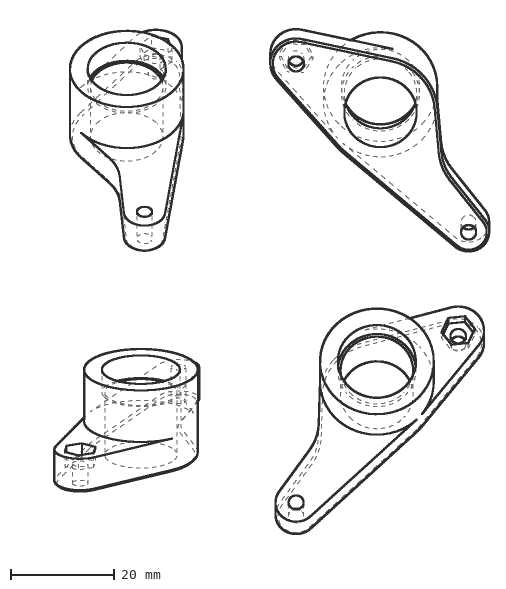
import cadquery as cq
import math

hub_center = (0.0, 0.0)
hub_radius = 11.0
hub_height = 17.7
bore_diameter = 14.0
seat_diameter = 15.1
seat_depth = 4.7

arm_thickness = 7.0
bottom_chamfer = 0.5

nut_arm_center = (0.0, 19.0)
nut_arm_radius = 5.0
nut_hole_diameter = 3.0
nut_across_flats = 5.6
nut_pocket_depth = 3.0
nut_rotation = 2.0

pin_arm_center = (12.0, -27.0)
pin_arm_radius = 4.0
pin_hole_diameter = 2.9

elbow_corner = (3.3, -15.95)
elbow_radius = 10.0


def polar(center, radius, angle):
    """Point at the given angle (radians) on a circle."""
    return (center[0] + radius * math.cos(angle), center[1] + radius * math.sin(angle))


def heading(start, end):
    """Direction angle from one point to another."""
    return math.atan2(end[1] - start[1], end[0] - start[0])


def tangent_normal(start, start_radius, end, end_radius, side):
    """Angle of the radius that meets a common tangent of two circles.

    side is +1 for the tangent to the left of the line from start to end and -1
    for the one to the right. A point counts as a circle of radius zero.
    """
    distance = math.dist(start, end)
    return heading(start, end) + side * math.acos((start_radius - end_radius) / distance)


def make_hub():
    """Hub cylinder over its full height."""
    return cq.Workplane("XY").circle(hub_radius).extrude(hub_height)


def make_nut_arm():
    """Tapered arm that runs from the hub axis, tangent to the hub on both sides."""
    left = tangent_normal(hub_center, hub_radius, nut_arm_center, nut_arm_radius, 1)
    right = tangent_normal(hub_center, hub_radius, nut_arm_center, nut_arm_radius, -1)
    tip = (nut_arm_center[0], nut_arm_center[1] + nut_arm_radius)
    return (
        cq.Workplane("XY")
        .moveTo(*hub_center)
        .lineTo(*polar(hub_center, hub_radius, left))
        .lineTo(*polar(nut_arm_center, nut_arm_radius, left))
        .threePointArc(tip, polar(nut_arm_center, nut_arm_radius, right))
        .lineTo(*polar(hub_center, hub_radius, right))
        .close()
        .extrude(arm_thickness)
    )


def make_pin_arm():
    """Long arm: one straight tangent side, and one side bent at a rounded elbow."""
    outer = tangent_normal(hub_center, hub_radius, pin_arm_center, pin_arm_radius, 1)
    inner = tangent_normal(pin_arm_center, pin_arm_radius, elbow_corner, 0, 1)
    waist = tangent_normal(hub_center, hub_radius, elbow_corner, 0, -1)
    tip = (pin_arm_center[0], pin_arm_center[1] - pin_arm_radius)
    arm = (
        cq.Workplane("XY")
        .moveTo(*hub_center)
        .lineTo(*polar(hub_center, hub_radius, outer))
        .lineTo(*polar(pin_arm_center, pin_arm_radius, outer))
        .threePointArc(tip, polar(pin_arm_center, pin_arm_radius, inner))
        .lineTo(*elbow_corner)
        .lineTo(*polar(hub_center, hub_radius, waist))
        .close()
        .extrude(arm_thickness)
    )
    elbow_edge = cq.selectors.NearestToPointSelector((*elbow_corner, arm_thickness / 2))
    return arm.edges("|Z").edges(elbow_edge).fillet(elbow_radius)


def make_body():
    """Hub and both arms as one solid, with the bottom rim chamfered all round."""
    body = make_hub().union(make_nut_arm()).union(make_pin_arm())
    return body.faces("<Z").edges().chamfer(bottom_chamfer)


def hole(center, diameter, bottom, top):
    """Round cutter between two heights."""
    return cq.Workplane("XY", origin=(*center, bottom)).circle(diameter / 2).extrude(top - bottom)


def nut_pocket():
    """Hexagonal cutter for the nut, turned slightly about its own axis."""
    across_corners = nut_across_flats / math.cos(math.radians(30))
    return (
        cq.Workplane("XY", origin=(*nut_arm_center, arm_thickness - nut_pocket_depth))
        .transformed(rotate=(0, 0, nut_rotation))
        .polygon(6, across_corners)
        .extrude(nut_pocket_depth)
    )


result = (
    make_body()
    .cut(hole(hub_center, bore_diameter, 0, hub_height))
    .cut(hole(hub_center, seat_diameter, hub_height - seat_depth, hub_height))
    .cut(hole(nut_arm_center, nut_hole_diameter, 0, arm_thickness))
    .cut(hole(pin_arm_center, pin_hole_diameter, 0, arm_thickness))
    .cut(nut_pocket())
)